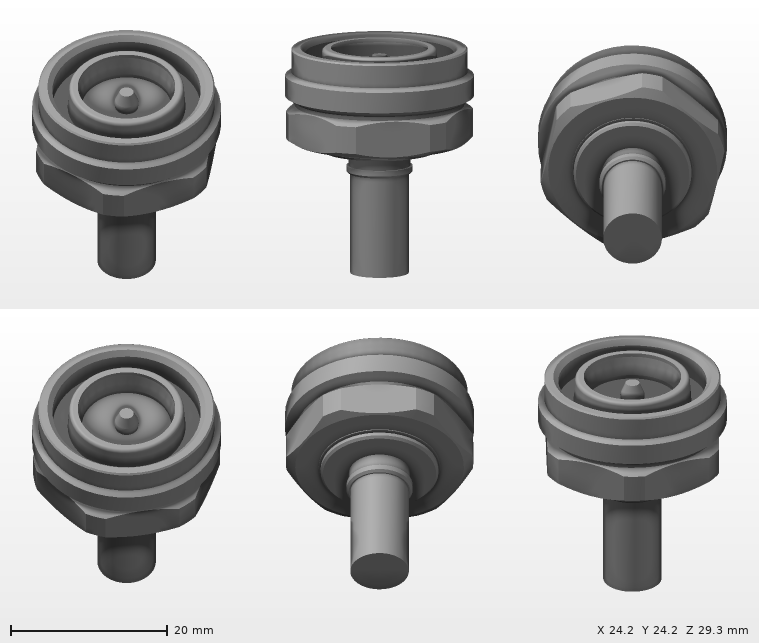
import cadquery as cq
import math

total_height = 29.3

tube_radius = 3.75
collar_bottom = 13.0
collar_top = 14.0
collar_radius = 4.25
collar_chamfer = 0.3
neck_radius = 3.95

flange_bottom = 15.9
flange_top = 16.65
flange_radius = 7.55
flange_chamfer = 0.3
step_radius = 7.0

washer_face_radius = 7.8
washer_face_height = 0.1
nut_bottom = 16.98
nut_top = 21.87
nut_across_flats = 22.0
nut_corner_radius = 12.0
nut_end_radius = 10.8

shoulder_slope = math.tan(math.radians(30))
groove_radius = 10.86
groove_top = 22.37
band_radius = 12.1
band_top = 25.75
rim_radius = 11.3
rim_chamfer = 0.2

cavity_radius = 9.5
cavity_chamfer = 0.63
cavity_depth = 3.4
cavity_floor = total_height - cavity_depth

ring_base_radius = 7.55
ring_top_radius = 7.35
ring_edge_fillet = 0.5
ring_mouth_radius = 6.24
ring_throat_radius = 5.75
ring_land_height = 0.5

pin_stem_radius = 1.47
pin_barrel_radius = 1.57
pin_barrel_height = 0.95
pin_tip_radius = 0.9
pin_top = 28.4
pin_tip_height = 1.35


def revolve(profile):
    """Turn a closed (radius, height) profile about the Z axis."""
    return profile.close().revolve(360, (0, 0, 0), (0, 1, 0))


def make_cable_end():
    """Tube, collar, neck and flange up to the underside of the nut."""
    return revolve(
        cq.Workplane("XZ")
        .lineTo(tube_radius, 0)
        .lineTo(tube_radius, collar_bottom)
        .lineTo(collar_radius - collar_chamfer, collar_bottom)
        .lineTo(collar_radius, collar_bottom + collar_chamfer)
        .lineTo(collar_radius, collar_top)
        .lineTo(neck_radius, collar_top)
        .lineTo(neck_radius, flange_bottom)
        .lineTo(flange_radius - flange_chamfer, flange_bottom)
        .lineTo(flange_radius, flange_bottom + flange_chamfer)
        .lineTo(flange_radius, flange_top)
        .lineTo(step_radius, flange_top)
        .lineTo(step_radius, nut_bottom - washer_face_height)
        .lineTo(washer_face_radius, nut_bottom - washer_face_height)
        .lineTo(washer_face_radius, nut_bottom)
        .lineTo(0, nut_bottom)
    )


def make_nut():
    """Hexagon with rounded corners and conical chamfers at both ends."""
    chamfer_height = (nut_corner_radius - nut_end_radius) * shoulder_slope
    turned_blank = revolve(
        cq.Workplane("XZ")
        .moveTo(0, nut_bottom)
        .lineTo(nut_end_radius, nut_bottom)
        .lineTo(nut_corner_radius, nut_bottom + chamfer_height)
        .lineTo(nut_corner_radius, nut_top - chamfer_height)
        .lineTo(nut_end_radius, nut_top)
        .lineTo(0, nut_top)
    )
    hexagon = (
        cq.Workplane("XY", origin=(0, 0, nut_bottom))
        .polygon(6, nut_across_flats / math.cos(math.radians(30)))
        .extrude(nut_top - nut_bottom)
    )
    return turned_blank.intersect(hexagon)


def make_sleeve():
    """Grooved coupling sleeve with its open cavity at the top."""
    band_bottom = groove_top + (band_radius - groove_radius) * shoulder_slope
    rim_bottom = band_top + (band_radius - rim_radius) * shoulder_slope
    return revolve(
        cq.Workplane("XZ")
        .moveTo(0, nut_top)
        .lineTo(groove_radius, nut_top)
        .lineTo(groove_radius, groove_top)
        .lineTo(band_radius, band_bottom)
        .lineTo(band_radius, band_top)
        .lineTo(rim_radius, rim_bottom)
        .lineTo(rim_radius, total_height - rim_chamfer)
        .lineTo(rim_radius - rim_chamfer, total_height)
        .lineTo(cavity_radius + cavity_chamfer, total_height)
        .lineTo(cavity_radius, total_height - cavity_chamfer)
        .lineTo(cavity_radius, cavity_floor)
        .lineTo(0, cavity_floor)
    )


def make_contact_ring():
    """Ring standing on the cavity floor, flush with the sleeve rim."""
    fillet_start = total_height - ring_edge_fillet
    return revolve(
        cq.Workplane("XZ")
        .moveTo(ring_throat_radius, cavity_floor)
        .lineTo(ring_base_radius, cavity_floor)
        .lineTo(ring_top_radius, fillet_start)
        .radiusArc((ring_top_radius - ring_edge_fillet, total_height), -ring_edge_fillet)
        .lineTo(ring_mouth_radius, total_height)
        .lineTo(ring_mouth_radius, total_height - ring_land_height)
        .lineTo(ring_throat_radius, cavity_floor + ring_land_height)
    )


def make_pin():
    """Centre pin with a rounded barrel below its conical tip."""
    barrel_top = pin_top - pin_tip_height
    barrel_bottom = barrel_top - pin_barrel_height
    barrel_middle = (barrel_top + barrel_bottom) / 2
    return revolve(
        cq.Workplane("XZ")
        .moveTo(0, cavity_floor)
        .lineTo(pin_stem_radius, cavity_floor)
        .lineTo(pin_stem_radius, barrel_bottom)
        .threePointArc((pin_barrel_radius, barrel_middle), (pin_stem_radius, barrel_top))
        .lineTo(pin_tip_radius, pin_top)
        .lineTo(0, pin_top)
    )


result = (
    make_cable_end()
    .union(make_nut())
    .union(make_sleeve())
    .union(make_contact_ring())
    .union(make_pin())
)